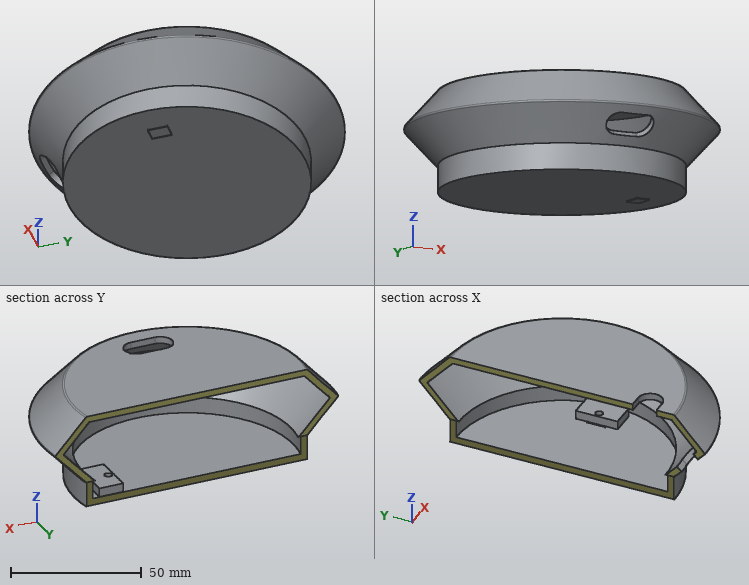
import cadquery as cq
import math

rim_diameter = 120.8
neck_diameter = 95.0
overall_height = 39.2
foot_drop = 0.4
base_height = 10.3
rim_height = 24.8
wall = 2.8
floor_thickness = 3.0
rim_fillet = 0.6
top_fillet = 1.0

slot_length = 20.1
slot_width = 10.0
top_slot_y = -34.9

module_edge_x = 31.0
module_length = 10.0
module_width = 17.6
module_top_z = 7.0
module_hole_diameter = 3.0
foot_length = 5.5
foot_width = 8.0
foot_x = 33.2

neck_radius = neck_diameter / 2
base_bottom_z = foot_drop
base_top_z = base_bottom_z + base_height
floor_top_z = base_bottom_z + floor_thickness
lower_angle = math.atan2(rim_height - base_top_z, rim_diameter / 2 - neck_radius)
upper_angle = math.atan2(overall_height - rim_height, rim_diameter / 2 - neck_radius)
rim_half_angle = (lower_angle + upper_angle) / 2
rim_radius = rim_diameter / 2 + rim_fillet * (1 / math.cos(math.pi / 2 - rim_half_angle) - 1)


def slot_cutter(plane, depth):
    """Rounded slot centred on the plane and reaching the same depth to both sides of it."""
    return cq.Workplane(plane).slot2D(slot_length, slot_width).extrude(depth, both=True)


def make_shell():
    """Hollow double cone, closed on top, with a slot in the top and one in the lower cone."""
    outside = (
        cq.Workplane("XZ")
        .moveTo(0, base_top_z)
        .lineTo(neck_radius, base_top_z)
        .lineTo(rim_radius, rim_height)
        .lineTo(neck_radius, overall_height)
        .lineTo(0, overall_height)
        .close()
        .revolve(360, (0, 0), (0, 1))
    )
    outside = outside.edges(cq.selectors.RadiusNthSelector(-1)).fillet(rim_fillet)
    outside = outside.faces(">Z").edges().fillet(top_fillet)

    ceiling_z = overall_height - wall
    lower_offset = wall / math.sin(lower_angle)
    upper_offset = wall / math.sin(upper_angle)
    rim_inner_radius = rim_radius - max(lower_offset, upper_offset)
    ceiling_radius = neck_radius - upper_offset + wall / math.tan(upper_angle)
    cavity = (
        cq.Workplane("XZ")
        .moveTo(0, base_top_z)
        .lineTo(neck_radius - lower_offset, base_top_z)
        .lineTo(rim_inner_radius, rim_height)
        .lineTo(ceiling_radius, ceiling_z)
        .lineTo(0, ceiling_z)
        .close()
        .revolve(360, (0, 0), (0, 1))
    )

    top_plane = cq.Plane(origin=(0, top_slot_y, overall_height), xDir=(1, 0, 0), normal=(0, 0, 1))
    side_plane = cq.Plane(
        origin=(0, -(neck_radius + rim_radius) / 2, (base_top_z + rim_height) / 2),
        xDir=(1, 0, 0),
        normal=(0, -math.sin(lower_angle), -math.cos(lower_angle)),
    )
    slot_depth = 2 * wall
    return (
        outside.cut(cavity)
        .cut(slot_cutter(top_plane, slot_depth))
        .cut(slot_cutter(side_plane, slot_depth))
    )


def module_foot():
    """Rectangular foot reaching from the housing underside up to the floor surface."""
    return (
        cq.Workplane("XY")
        .center(foot_x, 0)
        .rect(foot_length, foot_width)
        .extrude(floor_top_z)
    )


def make_base():
    """Cylindrical dish under the shell, with an opening for the module foot."""
    dish = cq.Workplane("XY").workplane(offset=base_bottom_z).circle(neck_radius).extrude(base_height)
    recess = (
        cq.Workplane("XY")
        .workplane(offset=floor_top_z)
        .circle(neck_radius - wall)
        .extrude(base_top_z - floor_top_z)
    )
    return dish.cut(recess).cut(module_foot())


def make_module():
    """Block on the floor with a small blind hole, and a foot through the base."""
    block_height = module_top_z - floor_top_z
    block = (
        cq.Workplane("XY")
        .workplane(offset=floor_top_z)
        .center(module_edge_x + module_length / 2, 0)
        .rect(module_length, module_width)
        .extrude(block_height)
    )
    hole = (
        cq.Workplane("XY")
        .workplane(offset=floor_top_z)
        .center(foot_x, 0)
        .circle(module_hole_diameter / 2)
        .extrude(block_height)
    )
    return block.cut(hole).union(module_foot())


shell = make_shell()
base = make_base()
module = make_module()

result = cq.Compound.makeCompound([shell.val(), base.val(), module.val()])